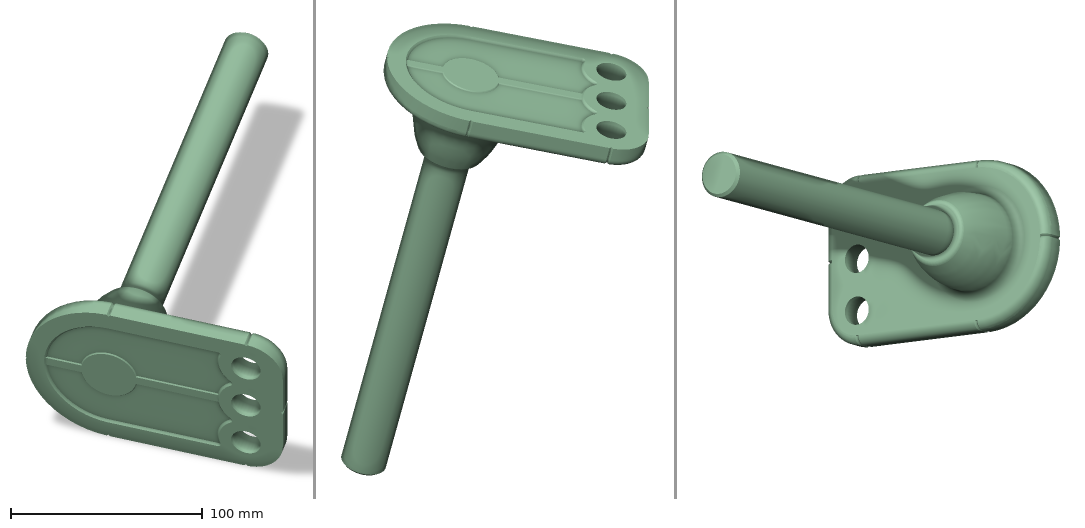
import cadquery as cq
import math

plate_radius = 45.0
plate_right = 95.0
plate_thickness = 12.0
corner_radius = 20.0
plate_edge_fillet = 4.5

groove_width = 2.0

hole_front_diameter = 16.0
hole_back_diameter = 15.0
hole_x = plate_right - corner_radius
hole_pitch = 27.5
hole_centres = [(hole_x, row * hole_pitch) for row in (-1, 0, 1)]

recess_radius = 35.0
recess_depth = 1.2
recess_corner_radius = 1.8
hole_land_radius = 14.8
wall_slope = 45.0

ridge_height = 0.6
ridge_base_width = 6.2
pad_base_radius = 15.5

boss_end = 50.0
boss_radius = 26.0
boss_side_radius = 65.0
boss_fillet = 4.5
boss_rim_fillet = 2.5

rod_diameter = 24.0
rod_end = 250.0
rod_chamfer = 1.5


def xz_plane(y=0.0):
    """Sketch plane at the given y, with local axes X and Z; extrusions go toward -Y."""
    return cq.Workplane("XZ", origin=(0, y, 0))


def d_outline(plane, radius, right):
    """Half disc at -X joined to a rectangle that ends at x = right."""
    return (
        plane.moveTo(0, -radius)
        .lineTo(right, -radius)
        .lineTo(right, radius)
        .lineTo(0, radius)
        .threePointArc((-radius, 0), (0, -radius))
        .close()
    )


def make_plate():
    plate = d_outline(xz_plane(plate_thickness), plate_radius, plate_right).extrude(plate_thickness)
    plate = plate.edges("|Y and >X").fillet(corner_radius)
    return plate.faces(">Y").edges().fillet(plate_edge_fillet)


def make_boss():
    """Solid of revolution about Y: a side arc that ends parallel to Y, then a fillet onto the plate."""
    fillet_start = plate_thickness + boss_fillet
    arc_centre_x = boss_radius - boss_side_radius

    def side_point(y):
        return arc_centre_x + math.sqrt(boss_side_radius**2 - (y - fillet_start) ** 2), y

    fillet_middle = boss_fillet * (1 - math.sqrt(0.5))
    boss = (
        cq.Workplane("XY")
        .lineTo(boss_radius + boss_fillet, 0)
        .lineTo(boss_radius + boss_fillet, plate_thickness)
        .threePointArc(
            (boss_radius + fillet_middle, plate_thickness + fillet_middle),
            (boss_radius, fillet_start),
        )
        .threePointArc(side_point((fillet_start + boss_end) / 2), side_point(boss_end))
        .lineTo(0, boss_end)
        .close()
        .revolve(360, (0, 0), (0, 1))
    )
    return boss.faces(">Y").edges().fillet(boss_rim_fillet)


def make_holes():
    """Through holes that taper from the front face toward the back."""
    return [
        cq.Solid.makeCone(
            hole_front_diameter / 2,
            hole_back_diameter / 2,
            plate_thickness,
            pnt=cq.Vector(x, 0, z),
            dir=cq.Vector(0, 1, 0),
        )
        for x, z in hole_centres
    ]


def make_groove():
    """Diamond bar that follows the plate's side and its rounded back edge, at the -X end of the plate."""
    fillet_start = plate_thickness - plate_edge_fillet
    fillet_middle = plate_edge_fillet * (1 - math.sqrt(0.5))
    path = (
        cq.Workplane("XY")
        .moveTo(-plate_radius, 0)
        .lineTo(-plate_radius, fillet_start)
        .threePointArc(
            (-plate_radius + fillet_middle, plate_thickness - fillet_middle),
            (-plate_radius + plate_edge_fillet, plate_thickness),
        )
    )
    return xz_plane().center(-plate_radius, 0).polygon(4, groove_width).sweep(path)


def make_grooves():
    """Grooves at both ends of the X axis and where the straight sides meet the round corners."""
    groove = make_groove()
    turned = [groove.rotate((0, 0, 0), (0, 1, 0), angle) for angle in (90, 180, 270)]
    lower, right, upper = turned
    grooves = [groove, right.translate((plate_right - plate_radius, 0, 0))]
    for side in (lower, upper):
        grooves += [side, side.translate((hole_x, 0, 0))]
    return grooves


def make_recess():
    """Volume to remove from the front face, leaving the ridge and pad standing on the floor.

    It starts in front of the plate so that its chamfered rim meets the front face exactly.
    """
    floor = xz_plane(recess_depth)
    pocket = d_outline(floor, recess_radius, hole_x).extrude(2 * recess_depth)
    lands = floor.pushPoints(hole_centres).circle(hole_land_radius).extrude(2 * recess_depth)
    pocket = pocket.cut(lands).edges("|Y and (not <X)").fillet(recess_corner_radius)
    pocket = pocket.faces(">Y").edges().chamfer(recess_depth)

    ridge = (
        xz_plane(recess_depth)
        .rect(2 * plate_right, ridge_base_width)
        .extrude(ridge_height, taper=wall_slope)
    )
    pad = xz_plane(recess_depth).circle(pad_base_radius).extrude(ridge_height, taper=wall_slope)
    return pocket.cut(ridge).cut(pad)


def make_foot():
    foot = make_plate().union(make_boss()).cut(make_recess())
    for cutter in make_holes() + make_grooves():
        foot = foot.cut(cutter)
    return foot


def make_rod():
    rod = xz_plane(rod_end).circle(rod_diameter / 2).extrude(rod_end - boss_end)
    return rod.faces(">Y").edges().chamfer(rod_chamfer)


foot = make_foot()
rod = make_rod()

result = cq.Compound.makeCompound([foot.val(), rod.val()])